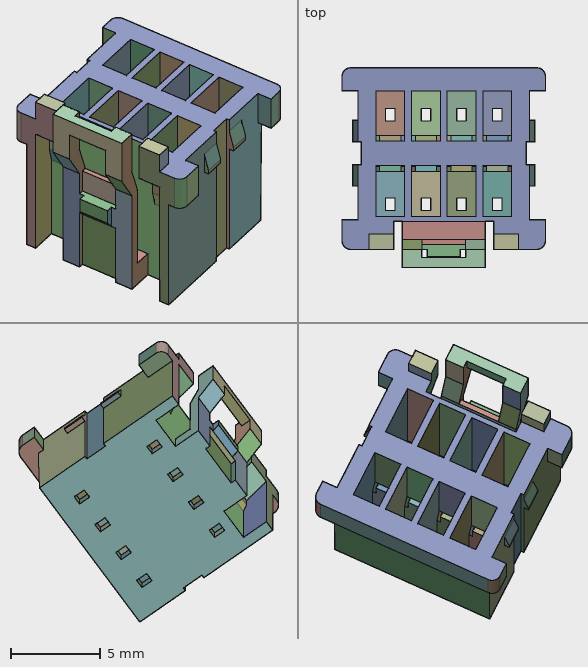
import cadquery as cq
import math


body_half_width = 4.81
body_height = 9.28
body_back_y = 9.25
inner_front_y = 1.57
back_draft = 0.08

flange_half_width = 5.7
flange_height = 2.1
flange_bottom_z = body_height - flange_height
flange_back_y = 10.18
front_ear_depth = 1.68
back_ear_depth = 1.3
flange_corner_radius = 0.5

groove_depth = 0.18
groove_front_y = 4.75
groove_back_y = 6.03
side_lug_length = 1.21
side_lug_reach = 0.28
side_lug_bottom_z = flange_bottom_z
side_lug_edge_z = 7.42
side_lug_top_z = 8.47

latch_half_width = 2.33
post_inner_x = 2.79
channel_outer_x = 4.2
post_top_z = 10.49
post_depth = 0.88
channel_roof_z = 8.19
channel_step_z = 7.07
channel_slope_top_z = 6.22
channel_slope_bottom_z = 5.3
channel_step_y = 1.37

latch_thickness = 0.57
latch_root_height = 1.52
latch_head_reach = 1.01
latch_top_z = 11.15
latch_ramp_top_z = 8.42
latch_ramp_bottom_z = 6.7
window_half_width = 1.22
window_top_z = 10.15
head_bar_thickness = 0.58
recess_depth = 0.28
pad_bottom_z = 3.89
pad_top_z = 5.27
catch_half_width = 0.93
catch_reach = 0.39
catch_chamfer_top_z = 4.37

columns = 4
column_pitch = 2.0
cavity_width = 1.61
cavity_floor_z = 0.91
front_row_front_y = 1.86
front_row_back_y = 4.71
back_row_front_y = 6.09
back_row_back_y = 8.87
pin_hole_width = 0.51
pin_hole_length = 0.68
front_hole_y = 2.54
back_hole_y = 7.55

ledge_length = 0.3
front_ledge_land = 0.05
ledge_top_z = 4.56
front_ledge_angle = 35.0
back_ledge_angle = 70.0
ledge_block_width = 1.19


def box(x0, x1, y0, y1, z0, z1):
    """Box between two opposite corners."""
    return cq.Workplane("XY").box(x1 - x0, y1 - y0, z1 - z0, centered=False).translate((x0, y0, z0))


def slab(half_width, y0, y1, z0, z1):
    """Box centred on X = 0."""
    return box(-half_width, half_width, y0, y1, z0, z1)


def prism_x(profile, x0, x1):
    """Extrude a closed (y, z) profile from x0 to x1."""
    return cq.Workplane("YZ").polyline(profile).close().extrude(x1 - x0).translate((x0, 0, 0))


def both_sides(shape):
    """The shape together with its mirror image across X = 0."""
    return shape.union(shape.mirror("YZ"))


def make_shell():
    profile = [
        (0, 0),
        (body_back_y - back_draft, 0),
        (body_back_y, flange_bottom_z),
        (body_back_y, body_height),
        (0, body_height),
    ]
    return prism_x(profile, -body_half_width, body_half_width)


def make_flange():
    plate = slab(flange_half_width, 0, flange_back_y, flange_bottom_z, body_height)
    plate = plate.edges("|Z").fillet(flange_corner_radius)
    side_gap = box(
        body_half_width, flange_half_width,
        front_ear_depth, flange_back_y - back_ear_depth,
        flange_bottom_z, body_height,
    )
    return plate.cut(both_sides(side_gap))


def make_side_lugs():
    edge_x = body_half_width + side_lug_reach
    profile = [
        (body_half_width - groove_depth, side_lug_bottom_z),
        (edge_x, side_lug_bottom_z),
        (edge_x, side_lug_edge_z),
        (body_half_width, side_lug_top_z),
        (body_half_width - groove_depth, side_lug_top_z),
    ]
    lug = cq.Workplane("XZ").polyline(profile).close().extrude(-side_lug_length)
    front_lug = lug.translate((0, groove_front_y - side_lug_length, 0))
    back_lug = lug.translate((0, groove_back_y, 0))
    return both_sides(front_lug.union(back_lug))


def make_side_grooves():
    groove = box(
        body_half_width - groove_depth, flange_half_width,
        groove_front_y, groove_back_y, 0, body_height,
    )
    return both_sides(groove)


def make_posts():
    return both_sides(box(post_inner_x, channel_outer_x, 0, post_depth, flange_bottom_z, post_top_z))


def make_channels():
    profile = [
        (0, 0),
        (inner_front_y, 0),
        (inner_front_y, channel_slope_bottom_z),
        (channel_step_y, channel_slope_top_z),
        (channel_step_y, channel_step_z),
        (0, channel_roof_z),
    ]
    return both_sides(prism_x(profile, post_inner_x, channel_outer_x))


def make_latch():
    profile = [
        (0, 0),
        (inner_front_y, 0),
        (inner_front_y, latch_root_height),
        (latch_thickness, latch_root_height),
        (latch_thickness, latch_ramp_bottom_z),
        (0, latch_ramp_top_z),
        (0, latch_top_z),
        (-latch_head_reach, latch_top_z),
        (-latch_head_reach, latch_ramp_top_z),
        (0, latch_ramp_bottom_z),
    ]
    latch = prism_x(profile, -latch_half_width, latch_half_width)
    bar_back_y = head_bar_thickness - latch_head_reach
    window = slab(window_half_width, -latch_head_reach, latch_thickness, latch_ramp_bottom_z, window_top_z)
    bar_notch = slab(window_half_width, bar_back_y, 0, window_top_z, latch_top_z)
    upper_recess = slab(window_half_width, 0, recess_depth, pad_top_z, latch_ramp_bottom_z)
    lower_recess = slab(window_half_width, 0, recess_depth, 0, pad_bottom_z)
    return latch.cut(window).cut(bar_notch).cut(upper_recess).cut(lower_recess).union(make_catch())


def make_catch():
    profile = [
        (recess_depth, pad_bottom_z),
        (0, pad_bottom_z),
        (-catch_reach, catch_chamfer_top_z),
        (-catch_reach, pad_top_z),
        (recess_depth, pad_top_z),
    ]
    return prism_x(profile, -catch_half_width, catch_half_width)


def make_cavity(front_y, back_y, hole_y, wall_y, inward, land, ramp_angle):
    """Cavity with its pin hole; the ledge stands on the wall at wall_y and points inward (+1 or -1).

    The ledge has a flat block in the middle and a ramp on each side of it.
    """
    ramp_drop = ledge_length * math.tan(math.radians(ramp_angle))
    cavity = slab(cavity_width / 2, front_y, back_y, cavity_floor_z, body_height)
    hole = slab(
        pin_hole_width / 2,
        hole_y - pin_hole_length / 2, hole_y + pin_hole_length / 2,
        0, cavity_floor_z,
    )
    ramp_y = wall_y + inward * land
    ledge_y = ramp_y + inward * ledge_length
    ramp_profile = [
        (wall_y, cavity_floor_z),
        (wall_y, ledge_top_z),
        (ledge_y, ledge_top_z - ramp_drop),
        (ledge_y, cavity_floor_z),
    ]
    if land > 0:
        ramp_profile.insert(2, (ramp_y, ledge_top_z))
    ramps = prism_x(ramp_profile, -cavity_width / 2, cavity_width / 2)
    block = slab(
        ledge_block_width / 2, min(ramp_y, ledge_y), max(ramp_y, ledge_y),
        cavity_floor_z, ledge_top_z,
    )
    return cavity.cut(ramps).cut(block).union(hole)


latch_clearance = slab(post_inner_x, 0, inner_front_y, 0, body_height)

housing = make_shell().union(make_flange())
housing = housing.cut(make_side_grooves()).union(make_side_lugs())
housing = housing.union(make_posts()).cut(make_channels())
housing = housing.cut(latch_clearance).union(make_latch())

front_cavity = make_cavity(
    front_row_front_y, front_row_back_y, front_hole_y,
    wall_y=front_row_back_y, inward=-1, land=front_ledge_land, ramp_angle=front_ledge_angle,
)
back_cavity = make_cavity(
    back_row_front_y, back_row_back_y, back_hole_y,
    wall_y=back_row_front_y, inward=1, land=0, ramp_angle=back_ledge_angle,
)
for column in range(columns):
    column_x = (column - (columns - 1) / 2) * column_pitch
    for cavity in (front_cavity, back_cavity):
        housing = housing.cut(cavity.translate((column_x, 0, 0)))

result = housing